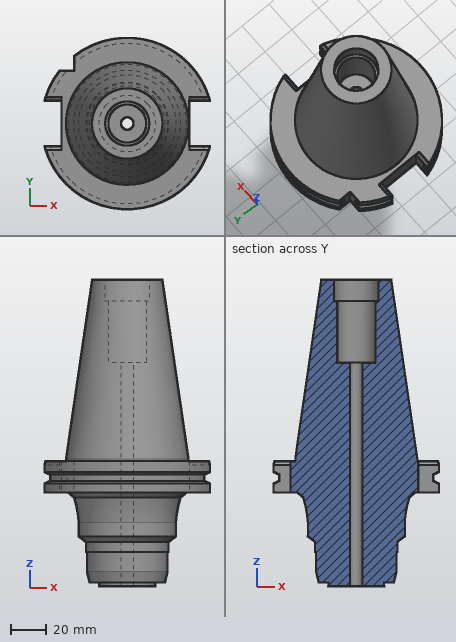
import cadquery as cq

total_height = 174.2
nose_top = 2.1
nose_chamfer_top = 8.4
relief_top = 19.5
neck_top = 25.3
collar_bottom = 28.4
collar_top = 36.4
flare_top = 50.5
flange_bottom = 53.3
groove_bottom = 58.3
groove_floor_bottom = 59.9
groove_floor_top = 63.4
groove_top = 65.0
flange_top = 71.0
gauge_line = 72.5

nose_radius = 16.0
nose_chamfer_radius = 21.5
relief_radius = 23.0
neck_radius = 23.5
collar_radius = 27.7
flare_middle_radius = 28.5
flare_radius = 30.3
flange_root_radius = 33.6
flange_radius = 48.8
groove_radius = 45.6
gauge_radius = 34.8
taper_ratio = 7 / 24
taper_end_radius = gauge_radius - (total_height - gauge_line) * taper_ratio / 2

socket_radius = 12.5
socket_depth = 12.2
thread_radius = 10.8
thread_depth = 47.0
through_radius = 3.5

slot_width = 25.8
slot_chamfer = 2.1
left_slot_floor = 37.5
right_slot_floor = 35.4
notch_offset = 30.1


def turned_body():
    """Revolve the outside profile, from the nose up to the taper end."""
    return (
        cq.Workplane("XZ")
        .lineTo(nose_radius, 0)
        .lineTo(nose_radius, nose_top)
        .lineTo(nose_chamfer_radius, nose_top)
        .lineTo(relief_radius, nose_chamfer_top)
        .lineTo(relief_radius, relief_top)
        .lineTo(neck_radius, relief_top)
        .lineTo(neck_radius, neck_top)
        .lineTo(collar_radius, collar_bottom)
        .lineTo(collar_radius, collar_top)
        .threePointArc((flare_middle_radius, (collar_top + flare_top) / 2), (flare_radius, flare_top))
        .lineTo(flange_root_radius, flange_bottom)
        .lineTo(flange_radius, flange_bottom)
        .lineTo(flange_radius, groove_bottom)
        .lineTo(groove_radius, groove_floor_bottom)
        .lineTo(groove_radius, groove_floor_top)
        .lineTo(flange_radius, groove_top)
        .lineTo(flange_radius, flange_top)
        .lineTo(gauge_radius, flange_top)
        .lineTo(gauge_radius, gauge_line)
        .lineTo(taper_end_radius, total_height)
        .lineTo(0, total_height)
        .close()
        .revolve(360, (0, 0), (0, 1))
    )


def bore(radius, depth):
    """Round cutter going down from the taper end."""
    return cq.Workplane("XY").workplane(offset=total_height - depth).circle(radius).extrude(depth)


def drive_slot(floor, side):
    """Cutter for a drive slot with chamfered top edges; side is -1 or +1 along X."""
    half_width = slot_width / 2
    mouth_half_width = half_width + slot_chamfer
    return (
        cq.Workplane("YZ", origin=(side * floor, 0, 0))
        .moveTo(-half_width, flange_bottom)
        .lineTo(half_width, flange_bottom)
        .lineTo(half_width, flange_top - slot_chamfer)
        .lineTo(mouth_half_width, flange_top)
        .lineTo(-mouth_half_width, flange_top)
        .lineTo(-half_width, flange_top - slot_chamfer)
        .close()
        .extrude(side * flange_radius)
    )


def orientation_notch():
    """Square-cornered cutter for the notch in the -X, +Y rim of the flange."""
    height = flange_top - flange_bottom
    return (
        cq.Workplane("XY", origin=(-notch_offset, notch_offset, flange_bottom))
        .rect(-flange_radius, flange_radius, centered=False)
        .extrude(height)
    )


result = (
    turned_body()
    .cut(bore(socket_radius, socket_depth))
    .cut(bore(thread_radius, thread_depth))
    .cut(bore(through_radius, total_height))
    .cut(drive_slot(left_slot_floor, -1))
    .cut(drive_slot(right_slot_floor, 1))
    .cut(orientation_notch())
)